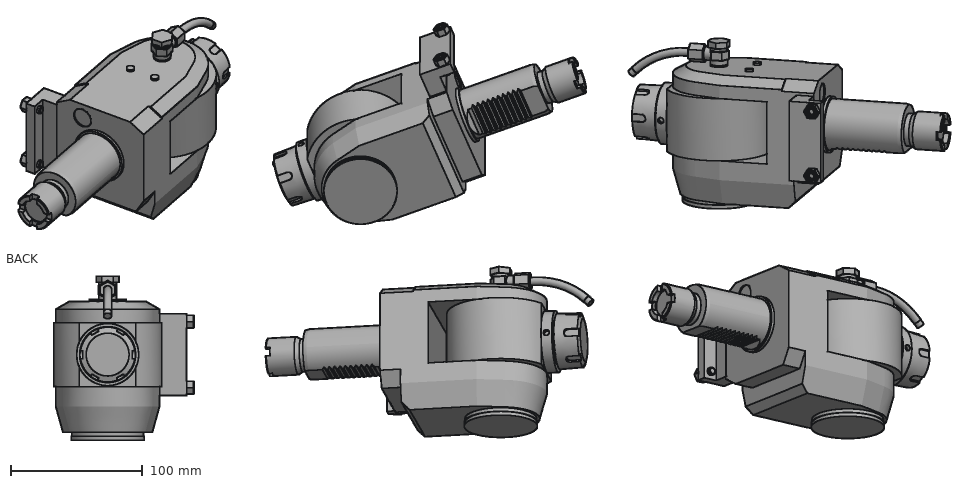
import cadquery as cq
import math


body_width = 79.0
body_half_width = body_width / 2
top_z = 40.4
bottom_z = -59.2
front_y = -86.2
nose_radius = 35.0
nose_tangent_angle = 15.0
wall_top_z = 34.5
cap_ledge = 0.3
cap_bevel_width = 10.0
chin_top_z = -39.4
chin_front_y = -70.5
chin_inset = 5.5
chin_chamfer = 6.0
block_back_y = -60.7
block_bevel_width = 12.3
block_bevel_height = 7.0

drum_radius = 41.0
drum_half_height = 24.3
slot_front_y = -49.1

boss_radius = 27.3
boss_rim_radius = 27.8
boss_rim_height = 3.0
boss_end_z = -65.2

flange_radius = 21.5
flange_length = 2.5
shank_radius = 19.8
shank_end_y = -149.5
shank_chamfer_length = 3.0
shank_chamfer_depth = 0.8
neck_radius = 12.5
neck_cone_y = -153.5
drive_start_y = -157.0
drive_radius = 14.5
drive_end_y = -179.2
drive_chamfer = 0.8
drive_bore_radius = 10.0
drive_slot_width = 6.5
drive_slot_depth = 3.5
drive_bore_depth = 4.5

rack_flat_z = -16.0
tooth_depth = 1.5
rack_length = 37.0
tooth_count = 10
tooth_pitch = rack_length / (tooth_count - 1)
last_tooth_y = -134.0

collar_radius = 23.5
collar_end_y = 43.4
collar_hole_radius = 2.3
collar_hole_depth = 3.8
undercut_radius = 18.3
nut_start_y = 44.5
nut_radius = 21.3
nut_front_radius = 20.8
nut_end_y = 64.2
nut_face_radius = 16.3
nut_edge_length = 1.5
nut_slot_width = 6.0
nut_slot_end_y = 52.1
nut_slot_depth = 2.5
nut_slot_count = 6

bracket_outer_x = -60.0
bracket_arm_thickness = 7.8
bracket_setback = 0.3
bracket_back_y = -72.5
bracket_arm_y = -97.3
bracket_half_height = 31.0
bolt_y = -91.2
bolt_z = 25.0
bolt_head_corners = 11.5
bolt_head_height = 6.0
bolt_recess_radius = 3.3
bolt_recess_depth = 0.8
bolt_socket_corners = 5.0
bolt_socket_depth = 3.0
bolt_radius = 3.0
bolt_tip = 2.5

fitting_radius = 6.8
fitting_base_radius = 6.5
fitting_base_height = 1.3
fitting_top_z = 59.7
head_corners = 17.3
head_height = 4.8
fitting_hex_flats = 14.0
fitting_hex_bottom_z = 45.0
fitting_hex_height = 7.8
hose_z = 49.1
hose_neck_radius = 5.3
hose_nut_start_y = 10.5
hose_nut_end_y = 23.0
hose_nut_corners = 14.3
hex_edge_chamfer = 0.8
hex_half_pitch = 30
hose_diameter = 6.3
hose_radius = hose_diameter / 2
hose_bend_start_y = 25.3
hose_bend_radius = 58.5
hose_bend_angle = 44.5
hose_tip_radius = 3.0
hose_end_y = 71.5

screw_x = 11.0
screw_y = -27.0
screw_radius = 3.0
screw_height = 1.5
screw_recess_radius = 2.0
screw_recess_depth = 0.5
screw_socket_corners = 3.0
recess_x = -16.0
recess_z = 27.8
recess_radius = 7.8
recess_depth = 1.0


def cylinder(radius, start, end):
    """Cylinder whose axis runs from start to end."""
    axis = cq.Vector(*end) - cq.Vector(*start)
    return cq.Workplane(cq.Solid.makeCylinder(radius, axis.Length, cq.Vector(*start), axis))


def turned(profile):
    """Solid turned about the Y axis from (radius, y) points."""
    points = [(0, profile[0][1])] + profile + [(0, profile[-1][1])]
    return cq.Workplane("XY").polyline(points).close().revolve(360, (0, 0, 0), (0, 1, 0))


def nose_outline(half_width, back_y, base_z):
    """Plan of the housing: straight sides running tangentially into a round nose."""
    angle = math.radians(nose_tangent_angle)
    tangent_x = nose_radius * math.cos(angle)
    tangent_y = nose_radius * math.sin(angle)
    side_end_y = tangent_y - (half_width - tangent_x) / math.tan(angle)
    return (
        cq.Workplane("XY", origin=(0, 0, base_z))
        .moveTo(-half_width, back_y)
        .lineTo(half_width, back_y)
        .lineTo(half_width, side_end_y)
        .lineTo(tangent_x, tangent_y)
        .threePointArc((0, nose_radius), (-tangent_x, tangent_y))
        .lineTo(-half_width, side_end_y)
        .close()
    )


def box(x_range, y_range, z_range):
    """Box between the low and high limits along each axis."""
    lows, highs = zip(x_range, y_range, z_range)
    sizes = [high - low for low, high in zip(lows, highs)]
    return cq.Workplane("XY").box(*sizes, centered=False).translate(lows)


def make_housing():
    walls = nose_outline(body_half_width, block_back_y, chin_top_z).extrude(wall_top_z - chin_top_z)
    lower_wall = nose_outline(body_half_width, chin_front_y, chin_top_z)
    lower_wall = lower_wall.extrude(-drum_half_height - chin_top_z)

    cap_height = top_z - wall_top_z
    cap_taper = math.degrees(math.atan(cap_bevel_width / cap_height))
    cap = nose_outline(body_half_width - cap_ledge, front_y, wall_top_z)
    cap = cap.extrude(cap_height, taper=cap_taper)
    beyond_x = (-2 * body_half_width, 2 * body_half_width)
    cap = cap.intersect(box(beyond_x, (block_back_y, 2 * nose_radius), (0, top_z)))

    chin_height = chin_top_z - bottom_z
    chin_taper = math.degrees(math.atan(chin_inset / chin_height))
    chin = nose_outline(body_half_width, front_y, chin_top_z)
    chin = chin.extrude(-chin_height, taper=chin_taper)
    chin = chin.intersect(box(beyond_x, (chin_front_y, 2 * nose_radius), (bottom_z, 0)))
    chin = chin.faces("<Z").edges("<Y").chamfer(chin_chamfer)

    block = (
        box((-body_half_width, body_half_width), (front_y, block_back_y), (-top_z, top_z))
        .edges("|Y and >Z").chamfer(block_bevel_height, block_bevel_width)
        .edges("|Y and <Z").chamfer(block_bevel_height, block_bevel_width)
    )

    slot = box(beyond_x, (slot_front_y, 2 * nose_radius), (-drum_half_height, drum_half_height))
    return walls.union(lower_wall).union(cap).union(chin).union(block).cut(slot)


def make_drum():
    drum = cylinder(drum_radius, (0, 0, -drum_half_height), (0, 0, drum_half_height))
    beyond = 2 * drum_radius
    return drum.cut(box((-beyond, beyond), (nose_radius, beyond), (-beyond, beyond)))


def make_boss():
    rim_z = boss_end_z + boss_rim_height
    boss = cylinder(boss_radius, (0, 0, bottom_z), (0, 0, rim_z))
    return boss.union(cylinder(boss_rim_radius, (0, 0, rim_z), (0, 0, boss_end_z)))


def make_shank():
    flange_end_y = front_y - flange_length
    shank = turned([
        (flange_radius, front_y),
        (flange_radius, flange_end_y),
        (shank_radius, flange_end_y),
        (shank_radius, shank_end_y + shank_chamfer_length),
        (shank_radius - shank_chamfer_depth, shank_end_y),
        (neck_radius, shank_end_y),
        (neck_radius, neck_cone_y),
        (drive_radius, drive_start_y),
        (drive_radius, drive_end_y + drive_chamfer),
        (drive_radius - drive_chamfer, drive_end_y),
    ])

    flat_depth = shank_radius - abs(rack_flat_z)
    flat = (
        cq.Workplane("YZ")
        .polyline([
            (flange_end_y, -shank_radius),
            (flange_end_y - flat_depth, rack_flat_z),
            (shank_end_y, rack_flat_z),
            (shank_end_y, -shank_radius),
        ])
        .close().extrude(shank_radius, both=True)
    )
    shank = shank.cut(flat)

    for index in range(tooth_count):
        middle_y = last_tooth_y + index * tooth_pitch
        groove = (
            cq.Workplane("YZ")
            .polyline([
                (middle_y - tooth_depth, rack_flat_z),
                (middle_y, rack_flat_z + tooth_depth),
                (middle_y + tooth_depth, rack_flat_z),
            ])
            .close().extrude(shank_radius, both=True)
        )
        shank = shank.cut(groove)

    slot_end_y = drive_end_y + drive_slot_depth
    bore_end_y = drive_end_y + drive_bore_depth
    shank = shank.cut(cylinder(drive_bore_radius, (0, drive_end_y, 0), (0, bore_end_y, 0)))
    across = (-drive_radius, drive_radius)
    width = (-drive_slot_width / 2, drive_slot_width / 2)
    shank = shank.cut(box(across, (drive_end_y, slot_end_y), width))
    return shank.cut(box(width, (drive_end_y, slot_end_y), across))


def make_collet_nut():
    nut = turned([
        (collar_radius, nose_radius),
        (collar_radius, collar_end_y),
        (undercut_radius, collar_end_y),
        (undercut_radius, nut_start_y),
        (nut_radius, nut_start_y),
        (nut_front_radius, nut_end_y - nut_edge_length),
        (nut_face_radius, nut_end_y),
    ])

    half_slot = nut_slot_width / 2
    slot = (
        cq.Workplane("XY", origin=(0, 0, nut_radius - nut_slot_depth))
        .moveTo(-half_slot, nut_end_y)
        .lineTo(-half_slot, nut_slot_end_y + half_slot)
        .threePointArc((0, nut_slot_end_y), (half_slot, nut_slot_end_y + half_slot))
        .lineTo(half_slot, nut_end_y)
        .close().extrude(2 * nut_slot_depth)
    )
    pitch_angle = 360 / nut_slot_count
    for index in range(nut_slot_count):
        nut = nut.cut(slot.rotate((0, 0, 0), (0, 1, 0), 90 + index * pitch_angle))

    hole_y = (nose_radius + collar_end_y) / 2
    for side in (-1, 1):
        outside = (side * collar_radius, hole_y, 0)
        inside = (side * (collar_radius - collar_hole_depth), hole_y, 0)
        nut = nut.cut(cylinder(collar_hole_radius, outside, inside))
    return nut


def make_bracket():
    arm_inner_x = bracket_outer_x + bracket_arm_thickness
    z_range = (-bracket_half_height, bracket_half_height)
    foot_front_y = front_y + bracket_setback
    bracket = box((bracket_outer_x, -body_half_width), (foot_front_y, bracket_back_y), z_range)
    arm = box((bracket_outer_x, arm_inner_x), (bracket_arm_y, foot_front_y), z_range)
    bracket = bracket.union(arm)

    head_x = bracket_outer_x - bolt_head_height
    for z in (-bolt_z, bolt_z):
        head = (
            cq.Workplane("YZ", origin=(head_x, bolt_y, z))
            .polygon(6, bolt_head_corners).extrude(bolt_head_height)
            .faces("<X").chamfer(hex_edge_chamfer)
            .faces("<X").workplane().hole(2 * bolt_recess_radius, bolt_recess_depth)
            .faces("<X").workplane().polygon(6, bolt_socket_corners).cutBlind(-bolt_socket_depth)
        )
        tip = cylinder(bolt_radius, (arm_inner_x, bolt_y, z), (arm_inner_x + bolt_tip, bolt_y, z))
        bracket = bracket.union(head).union(tip.faces(">X").chamfer(hex_edge_chamfer))
    return bracket


def make_coolant_fitting():
    base_top_z = top_z + fitting_base_height
    fitting = cylinder(fitting_base_radius, (0, 0, top_z), (0, 0, base_top_z))
    fitting = fitting.union(cylinder(fitting_radius, (0, 0, base_top_z), (0, 0, fitting_top_z)))
    head = cq.Workplane("XY", origin=(0, 0, fitting_top_z)).polygon(6, head_corners)
    fitting = fitting.union(head.extrude(-head_height))

    hex_corners = fitting_hex_flats / math.cos(math.radians(hex_half_pitch))
    hex_body = (
        cq.Workplane("XY", origin=(0, 0, fitting_hex_bottom_z))
        .polygon(6, hex_corners).extrude(fitting_hex_height)
        .rotate((0, 0, 0), (0, 0, 1), hex_half_pitch)
        .faces("<Z or >Z").chamfer(hex_edge_chamfer)
    )
    fitting = fitting.union(hex_body)

    fitting = fitting.union(cylinder(hose_neck_radius, (0, 0, hose_z), (0, hose_nut_start_y, hose_z)))
    hose_nut = (
        cq.Workplane("XZ", origin=(0, hose_nut_end_y, hose_z))
        .polygon(6, hose_nut_corners).extrude(hose_nut_end_y - hose_nut_start_y)
        .rotate((0, 0, hose_z), (0, 1, hose_z), hex_half_pitch)
        .faces("<Y or >Y").chamfer(hex_edge_chamfer)
    )
    fitting = fitting.union(hose_nut)

    straight = cylinder(hose_radius, (0, hose_nut_end_y, hose_z), (0, hose_bend_start_y, hose_z))
    bend = (
        cq.Workplane("XZ", origin=(0, hose_bend_start_y, hose_z))
        .circle(hose_radius)
        .revolve(hose_bend_angle, (0, -hose_bend_radius, 0), (-1, -hose_bend_radius, 0))
    )

    angle = math.radians(hose_bend_angle)
    bend_end = cq.Vector(
        0,
        hose_bend_start_y + hose_bend_radius * math.sin(angle),
        hose_z - hose_bend_radius * (1 - math.cos(angle)),
    )
    tip_reach_y = hose_end_y - hose_tip_radius * math.sin(angle) - bend_end.y
    tip_end = bend_end + cq.Vector(0, tip_reach_y, -tip_reach_y * math.tan(angle))
    tip = cylinder(hose_tip_radius, bend_end.toTuple(), tip_end.toTuple())
    return fitting.union(straight).union(bend).union(tip)


def make_top_screw(x):
    screw = cylinder(screw_radius, (x, screw_y, top_z), (x, screw_y, top_z + screw_height))
    return (
        screw.faces(">Z").workplane().hole(2 * screw_recess_radius, screw_recess_depth)
        .faces(">Z").workplane().polygon(6, screw_socket_corners).cutBlind(-screw_height)
    )


result = make_housing()
for feature in (make_drum(), make_boss(), make_shank(), make_collet_nut(), make_bracket(),
                make_coolant_fitting(), make_top_screw(-screw_x), make_top_screw(screw_x)):
    result = result.union(feature)

recess_bottom = (recess_x, front_y + recess_depth, recess_z)
result = result.cut(cylinder(recess_radius, (recess_x, front_y, recess_z), recess_bottom))